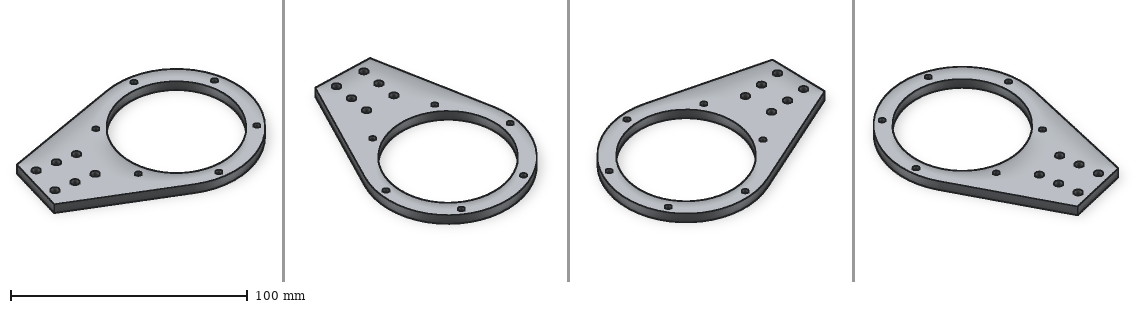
import cadquery as cq
import math

thickness = 5.0
ring_radius = 37.5
bore_diameter = 59.0
foot_distance = 70.0
foot_width = 30.0

ring_hole_count = 6
ring_hole_circle_diameter = 68.0
ring_hole_diameter = 3.0

foot_hole_diameter = 4.0
foot_hole_columns = 2
foot_hole_rows = 3
foot_hole_spacing_x = 15.0
foot_hole_spacing_y = 10.0
foot_hole_edge_distance = 5.0


def tangent_point():
    """Point on the +X side where the line from the foot corner touches the ring."""
    corner_x = foot_width / 2
    corner_y = -foot_distance
    corner_direction = math.atan2(corner_y, corner_x)
    corner_distance = math.hypot(corner_x, corner_y)
    angle = corner_direction + math.acos(ring_radius / corner_distance)
    return ring_radius * math.cos(angle), ring_radius * math.sin(angle)


def plate():
    """Round head whose sides run tangentially down to the straight foot edge."""
    tangent_x, tangent_y = tangent_point()
    return (
        cq.Workplane("XY")
        .moveTo(-foot_width / 2, -foot_distance)
        .lineTo(foot_width / 2, -foot_distance)
        .lineTo(tangent_x, tangent_y)
        .threePointArc((0, ring_radius), (-tangent_x, tangent_y))
        .close()
        .extrude(thickness)
    )


def bore():
    return cq.Workplane("XY").circle(bore_diameter / 2).extrude(thickness)


def ring_holes():
    return (
        cq.Workplane("XY")
        .polarArray(ring_hole_circle_diameter / 2, 0, 360, ring_hole_count)
        .circle(ring_hole_diameter / 2)
        .extrude(thickness)
    )


def foot_holes():
    rows_height = (foot_hole_rows - 1) * foot_hole_spacing_y
    pattern_center_y = -foot_distance + foot_hole_edge_distance + rows_height / 2
    return (
        cq.Workplane("XY")
        .center(0, pattern_center_y)
        .rarray(foot_hole_spacing_x, foot_hole_spacing_y, foot_hole_columns, foot_hole_rows)
        .circle(foot_hole_diameter / 2)
        .extrude(thickness)
    )


result = plate().cut(bore()).cut(ring_holes()).cut(foot_holes())